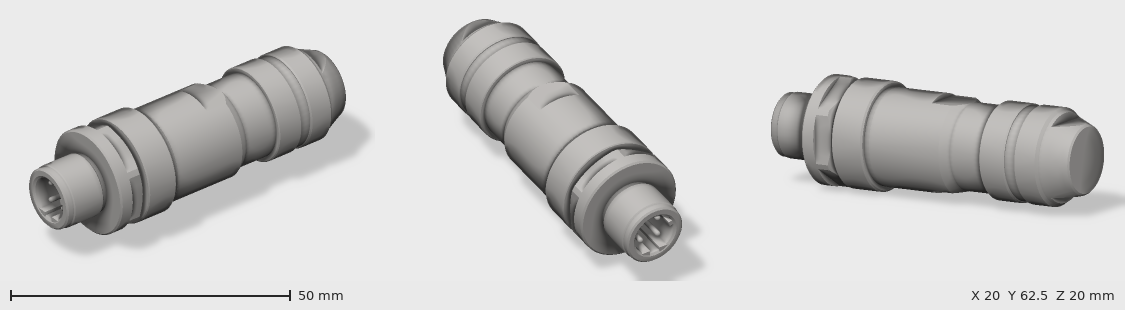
import cadquery as cq

length = 62.5

tip_dia = 11.6
plug_dia = 12.0
plug_neck_dia = 11.3
flange_dia = 20.0
nut_flats = 17.9
inner_neck_dia = 12.75
body_dia = 18.0
relief_dia = 17.9
waist_dia = 16.0
groove_dia = 17.25
dome_base_dia = 17.0
dome_mid_dia = 14.95
dome_top_dia = 12.75

tip_step_y = 1.45
plug_end_y = 8.2
flange_start_y = 8.95
nut_start_y = 11.5
nut_end_y = 14.55
ring_start_y = 15.25
ring_end_y = 21.5
relief_end_y = 22.5
body_end_y = 36.95
waist_start_y = 38.7
grip_start_y = 45.3
groove_start_y = 50.5
groove_end_y = 52.45
dome_chamfer_y = 56.95
dome_start_y = 57.5
dome_mid_y = 59.6

nut_sides = 6

edge = 0.3
grip_edge = 0.2
plug_edge = 0.25
nut_chamfer_length = 0.7

body_flat_start_y = 32.7
dome_flat_start_y = 58.05
dome_flat_gap = 13.0

bore_dia = 8.2
bore_mouth_dia = 9.0
bore_depth = 7.5
bore_mouth_depth = 0.4
pin_dia = 1.0
pin_offset = 1.8
pin_tip_y = 1.7
ledge_top_z = -3.25
ledge_start_y = 0.1
ledge_gap = 2.0

key_width = 0.95
key_inner_radius = 3.3
key_angle = 17.0


def revolve_profile(profile):
    """Close a (radius, Y) profile at the axis and turn it about Y."""
    return profile.close().revolve(360, (0, 0, 0), (0, 1, 0))


def make_shell():
    plug_r = plug_dia / 2
    plug_neck_r = plug_neck_dia / 2
    flange_r = flange_dia / 2
    nut_end_r = nut_flats / 2
    inner_neck_r = inner_neck_dia / 2
    body_r = body_dia / 2
    groove_r = groove_dia / 2
    dome_top_r = dome_top_dia / 2
    profile = (
        cq.Workplane("XY")
        .moveTo(0, 0)
        .lineTo(tip_dia / 2 - edge, 0)
        .lineTo(tip_dia / 2, edge)
        .lineTo(tip_dia / 2, tip_step_y)
        .lineTo(plug_r, tip_step_y + plug_edge)
        .lineTo(plug_r, plug_end_y - edge)
        .lineTo(plug_neck_r, plug_end_y)
        .lineTo(plug_neck_r, flange_start_y)
        .lineTo(flange_r - edge, flange_start_y)
        .lineTo(flange_r, flange_start_y + edge)
        .lineTo(flange_r, nut_end_y - nut_chamfer_length)
        .lineTo(nut_end_r, nut_end_y)
        .lineTo(inner_neck_r - edge, nut_end_y)
        .lineTo(inner_neck_r, nut_end_y + edge)
        .lineTo(inner_neck_r, ring_start_y)
        .lineTo(flange_r - grip_edge, ring_start_y)
        .lineTo(flange_r, ring_start_y + grip_edge)
        .lineTo(flange_r, ring_end_y - edge)
        .lineTo(flange_r - edge, ring_end_y)
        .lineTo(relief_dia / 2, ring_end_y)
        .lineTo(relief_dia / 2, relief_end_y)
        .lineTo(body_r, relief_end_y)
        .lineTo(body_r, body_end_y)
        .lineTo(waist_dia / 2, waist_start_y)
        .lineTo(waist_dia / 2, grip_start_y)
        .lineTo(body_r - grip_edge, grip_start_y)
        .lineTo(body_r, grip_start_y + grip_edge)
        .lineTo(body_r, groove_start_y - edge)
        .lineTo(body_r - grip_edge, groove_start_y)
        .lineTo(groove_r, groove_start_y)
        .lineTo(groove_r, groove_end_y)
        .lineTo(body_r - grip_edge, groove_end_y)
        .lineTo(body_r, groove_end_y + edge)
        .lineTo(body_r, dome_chamfer_y)
        .lineTo(dome_base_dia / 2, dome_start_y)
        .threePointArc((dome_mid_dia / 2, dome_mid_y), (dome_top_r, length - edge))
        .lineTo(dome_top_r - edge, length)
        .lineTo(0, length)
    )
    return revolve_profile(profile)


def box_along_y(width, start_y, end_y, bottom_z, top_z):
    return cq.Workplane("XY").box(
        width, end_y - start_y, top_z - bottom_z, centered=(True, False, False)
    ).translate((0, start_y, bottom_z))


def cut_flat_pair(part, start_y, end_y, gap):
    """Mill parallel flats on the +Z and -Z sides, leaving the given gap between them."""
    for bottom_z, top_z in ((gap / 2, flange_dia / 2), (-flange_dia / 2, -gap / 2)):
        part = part.cut(box_along_y(flange_dia, start_y, end_y, bottom_z, top_z))
    return part


def cut_hexagon(part):
    """Mill six flats on the nut, two of them facing +X and -X."""
    cutter = box_along_y(flange_dia, nut_start_y, nut_end_y, nut_flats / 2, flange_dia)
    for side in range(nut_sides):
        part = part.cut(cutter.rotate((0, 0, 0), (0, 1, 0), (side + 0.5) * 360 / nut_sides))
    return part


def make_socket():
    profile = (
        cq.Workplane("XY")
        .moveTo(0, 0)
        .lineTo(bore_mouth_dia / 2, 0)
        .lineTo(bore_dia / 2, bore_mouth_depth)
        .lineTo(bore_dia / 2, bore_depth)
        .lineTo(0, bore_depth)
    )
    return revolve_profile(profile)


def make_pin(x, z):
    pin_r = pin_dia / 2
    profile = (
        cq.Workplane("XY")
        .moveTo(0, pin_tip_y)
        .radiusArc((pin_r, pin_tip_y + pin_r), -pin_r)
        .lineTo(pin_r, bore_depth + edge)
        .lineTo(0, bore_depth + edge)
    )
    return revolve_profile(profile).translate((x, 0, z))


def make_ledges():
    """Two flat-topped ledges in the bottom of the bore, separated by a keyway."""
    socket_r = bore_mouth_dia / 2
    ledges = box_along_y(bore_mouth_dia, ledge_start_y, bore_depth, -socket_r, ledge_top_z)
    return ledges.cut(box_along_y(ledge_gap, 0, bore_depth, -socket_r, 0))


def make_coding_key():
    """A radial rib along the bore wall, tilted up from +X."""
    rib = box_along_y(key_width, bore_mouth_depth, bore_depth, key_inner_radius, bore_mouth_dia / 2)
    return rib.rotate((0, 0, 0), (0, 1, 0), 90 - key_angle)


result = make_shell()
result = cut_flat_pair(result, body_flat_start_y, waist_start_y, waist_dia)
result = cut_flat_pair(result, dome_flat_start_y, length, dome_flat_gap)
result = cut_hexagon(result)

socket = make_socket()
result = result.cut(socket)
for rib in (make_ledges(), make_coding_key()):
    result = result.union(rib.intersect(socket))
for pin_x in (-pin_offset, pin_offset):
    for pin_z in (-pin_offset, pin_offset):
        result = result.union(make_pin(pin_x, pin_z))